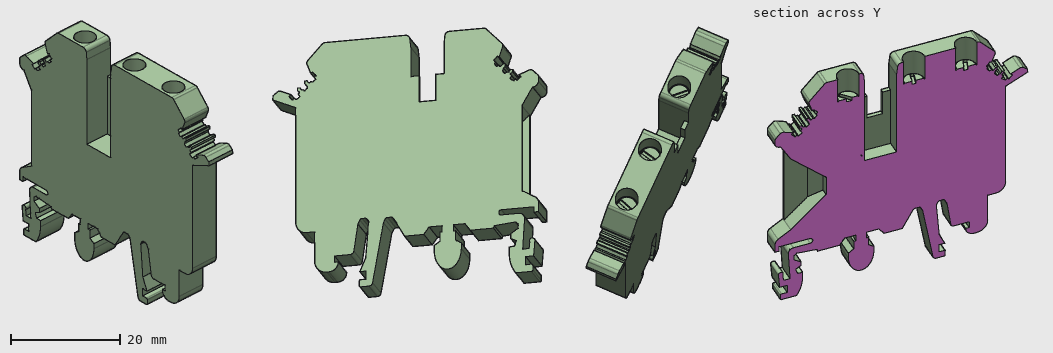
import cadquery as cq
import math

LENGTH = 50.5
THICKNESS = 6.0
HEIGHT = 48.2

WALL_LEFT = 3.15
WALL_RIGHT = 46.1
WALL_LEFT_TOP = 32.4
WALL_LEFT_BOTTOM = 15.9
BASE_Z = 11.5
BASE_CORNER_RADIUS = 2.05
HEAD_SHOULDER_Z = 44.65
HEAD_LEFT_TOP = 10.1
HEAD_RIGHT_TOP = 40.85
CORNER_RADIUS = 0.7
GAP_ROOF_RADIUS = 0.5
NOSE_RADIUS = 1.05
LIP_RADIUS = 1.2

COMB_MIRROR_SUM = 50.7
COMB_RIGHT_LIFT = 0.15

NOTCH_LEFT = 17.95
NOTCH_RIGHT = 24.25
NOTCH_FLOOR = 27.5
PLATE_THICKNESS = 0.85
PLATE_TOP = 40.05
FORK_LEFT = 19.55
FORK_RIGHT = 22.65
FORK_FLOOR = 35.0

FUNNEL_DEPTH = 7.05
FUNNEL_STRAIGHT_DEPTH = 4.7
FUNNEL_FRONT_Y = 0.7
FUNNEL_BACK_Y = 5.5
FUNNEL_END_BACK_Y = 3.9
FUNNEL_END_BOTTOM = 21.9
FUNNEL_END_TOP = 25.9

SCREWS = [(14.65, -46.0), (27.8, 77.0), (38.2, 71.0)]
SCREW_Y = 2.7
SCREW_HOLE_DIAMETER = 4.2
SCREW_FACE_DIAMETER = 3.75
SCREW_SINK = 5.05
DRIVER_SLOT_WIDTH = 0.7
DRIVER_SLOT_DEPTH = 0.7

SLIT_TOP = 12.5
SLIT_LEFT = 0.85
SLIT_END = 7.5

UNDERSIDE_Z = 9.1
STUD_RECESS_Z = 10.45
STUD_CENTER = 17.2
STUD_NECK_WIDTH = 2.1
STUD_COLLAR_WIDTH = 3.05
STUD_COLLAR_TOP = 9.25
STUD_COLLAR_BOTTOM = 7.45
STUD_BULB_WIDTH = 5.15
STUD_BULB_TOP = 6.75
STUD_BULB_MIDDLE = 5.65
STUD_BOTTOM = 1.9

TOE_RADIUS = 0.25
CLIP_OUTER_X = 2.65
CLIP_OUTER_TOP = 10.4
CLIP_CORNER_RADIUS = 1.05
HOOK_RIGHT = 42.5
leg_left_root = (29.45, 12.05)
leg_right_root = (32.25, 12.45)
hook_left_root = (34.3, 12.25)
hook_right_root = (HOOK_RIGHT, BASE_Z)
clip_root = (4.35, 9.9)


def prism(sketch):
    """Extrude an XZ outline through the full thickness, from Y = 0 to the back."""
    return sketch.close().extrude(-THICKNESS)


def outline(points):
    """Full-thickness prism with a straight-sided outline."""
    return prism(cq.Workplane("XZ").polyline(points))


def block(x_min, x_max, y_min, y_max, z_min, z_max):
    size = (x_max - x_min, y_max - y_min, z_max - z_min)
    return cq.Workplane("XY").box(*size, centered=False).translate((x_min, y_min, z_min))


def round_corners(solid, corners, radius):
    """Round the Y-parallel edges that stand at the given (X, Z) corners."""
    reach = 0.05
    for x, z in corners:
        near = cq.selectors.BoxSelector(
            (x - reach, -reach, z - reach), (x + reach, THICKNESS + reach, z + reach)
        )
        solid = solid.edges("|Y").edges(near).fillet(radius)
    return solid


comb_left = [
    (3.75, 38.5), (3.35, 38.15), (4.05, 37.4), (4.35, 37.75), (4.7, 37.4), (5.4, 37.95),
    (5.05, 38.45), (5.35, 38.8), (4.9, 39.2), (4.9, 39.65), (5.4, 39.65), (5.65, 39.2),
    (6.0, 39.25), (6.3, 39.0), (6.8, 39.5), (6.6, 40.05), (6.3, 40.35), (6.3, 40.9),
    (6.7, 40.9), (7.15, 40.4), (7.5, 40.7), (7.9, 40.55), (8.4, 41.05), (8.15, 41.4),
    (8.5, 41.75), (7.8, 42.45), (7.4, 42.3),
]
comb_right = [(COMB_MIRROR_SUM - x, z + COMB_RIGHT_LIFT) for x, z in reversed(comb_left)]

head_left_shoulder = (6.65, HEAD_SHOULDER_Z)
head_right_shoulder = (44.15, HEAD_SHOULDER_Z)
finger_left_tip = (1.35, 39.4)
finger_right_tip = (49.3, 39.65)
nose_top = (0, 38.1)
nose_bottom = (0, 35.85)
lip_corner = (0, 14.1)


def make_body():
    gap_right_roof = [(33.8, 13.3), (32.6, 13.3)]
    gap_left_roof = [(29.0, 13.05), (27.7, 13.05)]
    body = outline(
        [
            lip_corner, (WALL_LEFT, WALL_LEFT_BOTTOM), (WALL_LEFT, WALL_LEFT_TOP),
            (1.1, 35.85), nose_bottom, nose_top, finger_left_tip,
            *comb_left,
            head_left_shoulder, (HEAD_LEFT_TOP, HEIGHT), (HEAD_RIGHT_TOP, HEIGHT), head_right_shoulder,
            *comb_right,
            finger_right_tip, (50.4, 38.75), (LENGTH, 37.95), (WALL_RIGHT, 36.0),
            (WALL_RIGHT, BASE_Z), hook_right_root, hook_left_root, *gap_right_roof,
            leg_right_root, leg_left_root, *gap_left_roof,
            (25.45, UNDERSIDE_Z), (21.75, UNDERSIDE_Z), (20.75, STUD_RECESS_Z),
            (13.95, STUD_RECESS_Z), (13.0, UNDERSIDE_Z), (8.55, UNDERSIDE_Z), (8.4, 9.55),
            clip_root, (CLIP_OUTER_X, CLIP_OUTER_TOP), (CLIP_OUTER_X, BASE_Z), (0, BASE_Z),
        ]
    )
    rounded = [
        head_left_shoulder, (HEAD_LEFT_TOP, HEIGHT), (HEAD_RIGHT_TOP, HEIGHT), head_right_shoulder,
        finger_left_tip, finger_right_tip, nose_top,
    ]
    body = round_corners(body, rounded, CORNER_RADIUS)
    body = round_corners(body, [nose_bottom], NOSE_RADIUS)
    body = round_corners(body, [lip_corner], LIP_RADIUS)
    body = round_corners(body, gap_right_roof + gap_left_roof, GAP_ROOF_RADIUS)
    return round_corners(body, [(WALL_RIGHT, BASE_Z)], BASE_CORNER_RADIUS)


def make_slit():
    end_radius = (SLIT_TOP - BASE_Z) / 2
    slit = (
        cq.Workplane("XZ")
        .moveTo(SLIT_LEFT, BASE_Z)
        .lineTo(SLIT_LEFT, SLIT_TOP)
        .lineTo(SLIT_END - end_radius, SLIT_TOP)
        .threePointArc((SLIT_END, SLIT_TOP - end_radius), (SLIT_END - end_radius, BASE_Z))
    )
    return prism(slit)


def make_clip_foot():
    toe_top = (1.05, 1.4)
    toe_bottom = (1.05, 0)
    foot = (
        cq.Workplane("XZ")
        .moveTo(CLIP_OUTER_X, CLIP_OUTER_TOP)
        .lineTo(3.0, 4.5)
        .lineTo(1.75, 4.5)
        .lineTo(1.6, 5.75)
        .threePointArc((1.1, 6.5), (0.65, 6.0))
        .lineTo(0.9, 3.0)
        .lineTo(2.4, 3.0)
        .lineTo(2.4, 1.4)
        .lineTo(*toe_top)
        .lineTo(*toe_bottom)
        .lineTo(4.35, 0)
        .threePointArc((5.25, 1.8), (5.55, 3.85))
        .lineTo(5.55, 5.15)
        .lineTo(4.55, 5.25)
        .lineTo(4.2, 6.25)
        .lineTo(5.25, 6.75)
        .lineTo(5.25, 7.7)
        .lineTo(3.85, 8.65)
        .lineTo(3.85, 9.5)
        .lineTo(*clip_root)
    )
    return round_corners(prism(foot), [toe_top, toe_bottom], TOE_RADIUS)


def make_stud():
    """Necked stud with a half-elliptical bottom."""
    neck_left = STUD_CENTER - STUD_NECK_WIDTH / 2
    neck_right = STUD_CENTER + STUD_NECK_WIDTH / 2
    collar_left = STUD_CENTER - STUD_COLLAR_WIDTH / 2
    collar_right = STUD_CENTER + STUD_COLLAR_WIDTH / 2
    bulb_radius = STUD_BULB_WIDTH / 2
    stud = (
        cq.Workplane("XZ")
        .moveTo(neck_left, STUD_RECESS_Z)
        .lineTo(neck_left, STUD_COLLAR_TOP)
        .lineTo(collar_left, STUD_COLLAR_TOP)
        .lineTo(collar_left, STUD_COLLAR_BOTTOM)
        .lineTo(STUD_CENTER - bulb_radius, STUD_BULB_TOP)
        .lineTo(STUD_CENTER - bulb_radius, STUD_BULB_MIDDLE)
        .ellipseArc(bulb_radius, STUD_BULB_MIDDLE - STUD_BOTTOM, 180, 360, startAtCurrent=True)
        .lineTo(STUD_CENTER + bulb_radius, STUD_BULB_TOP)
        .lineTo(collar_right, STUD_COLLAR_BOTTOM)
        .lineTo(collar_right, STUD_COLLAR_TOP)
        .lineTo(neck_right, STUD_COLLAR_TOP)
        .lineTo(neck_right, STUD_RECESS_Z)
    )
    return prism(stud)


def make_spring_leg():
    heel = (31.6, 0)
    toe_bottom = (34.05, 0)
    toe_top = (34.05, 1.4)
    leg = outline(
        [
            leg_left_root, heel, toe_bottom, toe_top, (32.75, 1.4), (32.75, 3.0),
            (33.95, 3.0), (32.8, 5.55), leg_right_root,
        ]
    )
    leg = round_corners(leg, [toe_bottom, toe_top], TOE_RADIUS)
    return round_corners(leg, [heel], CORNER_RADIUS)


def make_rail_hook():
    inner_corner = (35.15, 6.45)
    hook = (
        cq.Workplane("XZ")
        .moveTo(*hook_left_root)
        .lineTo(*inner_corner)
        .lineTo(38.75, 6.45)
        .lineTo(38.75, 5.25)
        .lineTo(38.05, 5.25)
        .threePointArc((38.55, 4.0), (39.8, 3.5))
        .lineTo(40.2, 3.5)
        .threePointArc((41.85, 4.15), (HOOK_RIGHT, 5.8))
        .lineTo(*hook_right_root)
    )
    return round_corners(prism(hook), [inner_corner], CORNER_RADIUS)


def make_notch():
    """Open notch, its mouth tapered and rounded, less the forked plate at the back."""
    notch = (
        cq.Workplane("XZ")
        .moveTo(NOTCH_LEFT, NOTCH_FLOOR)
        .lineTo(NOTCH_LEFT, 45.95)
        .lineTo(17.8, 47.45)
        .threePointArc((17.45, 48.0), (16.9, HEIGHT))
        .lineTo(25.35, HEIGHT)
        .threePointArc((24.7, 47.9), (24.45, 47.35))
        .lineTo(NOTCH_RIGHT, 45.7)
        .lineTo(NOTCH_RIGHT, NOTCH_FLOOR)
    )
    plate_y = THICKNESS - PLATE_THICKNESS
    plate = block(NOTCH_LEFT, NOTCH_RIGHT, plate_y, THICKNESS, NOTCH_FLOOR, PLATE_TOP)
    fork = block(FORK_LEFT, FORK_RIGHT, plate_y, THICKNESS, FORK_FLOOR, PLATE_TOP)
    return prism(notch).cut(plate.cut(fork))


def make_funnel():
    """Wire funnel: floor, roof and the back wall close in towards a flat end."""
    end_x = WALL_LEFT + FUNNEL_DEPTH
    side_shape = outline(
        [
            (WALL_LEFT, WALL_LEFT_BOTTOM), (end_x, FUNNEL_END_BOTTOM),
            (end_x, FUNNEL_END_TOP), (WALL_LEFT, WALL_LEFT_TOP),
        ]
    )
    plan_shape = (
        cq.Workplane("XY")
        .polyline(
            [
                (WALL_LEFT, FUNNEL_FRONT_Y), (end_x, FUNNEL_FRONT_Y), (end_x, FUNNEL_END_BACK_Y),
                (WALL_LEFT + FUNNEL_STRAIGHT_DEPTH, FUNNEL_BACK_Y), (WALL_LEFT, FUNNEL_BACK_Y),
            ]
        )
        .close()
        .extrude(HEIGHT)
    )
    return side_shape.intersect(plan_shape)


def make_screw_well(x, slot_angle):
    """Space above one sunken screw: the hole, the bevel around its face and the driver slot."""
    face_z = HEIGHT - SCREW_SINK
    bevel = (SCREW_HOLE_DIAMETER - SCREW_FACE_DIAMETER) / 2
    well = cq.Workplane("XY").circle(SCREW_HOLE_DIAMETER / 2).extrude(SCREW_SINK + bevel)
    head = cq.Workplane("XY").circle(SCREW_HOLE_DIAMETER / 2).extrude(bevel, taper=45)
    slot_length = math.sqrt(SCREW_FACE_DIAMETER**2 - DRIVER_SLOT_WIDTH**2)
    slot = (
        cq.Workplane("XY")
        .rect(slot_length, DRIVER_SLOT_WIDTH)
        .extrude(-DRIVER_SLOT_DEPTH)
        .translate((0, 0, bevel))
        .rotate((0, 0, 0), (0, 0, 1), slot_angle)
    )
    well = well.cut(head).union(slot)
    return well.translate((x, SCREW_Y, face_z - bevel))


result = make_body().cut(make_slit())
result = round_corners(result, [(CLIP_OUTER_X, BASE_Z)], CLIP_CORNER_RADIUS)
for foot in (make_clip_foot(), make_stud(), make_spring_leg(), make_rail_hook()):
    result = result.union(foot)
result = result.cut(make_notch()).cut(make_funnel())
for screw_x, screw_angle in SCREWS:
    result = result.cut(make_screw_well(screw_x, screw_angle))